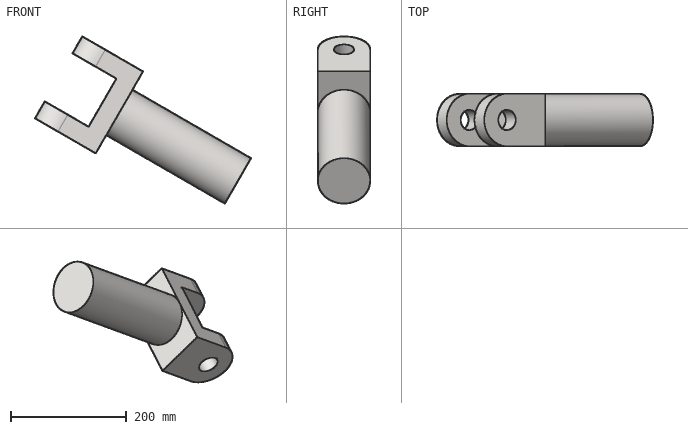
import cadquery as cq

width = 91.0
fork_height = 164.0
fork_length = 121.7
arm_thickness = 34.0
bridge_thickness = 34.0
hole_diameter = 35.0
shank_length = 237.0
tilt = 30

arm_radius = width / 2
eye_to_back = fork_length - arm_radius
slot_length = fork_length - bridge_thickness
slot_height = fork_height - 2 * arm_thickness


def make_fork():
    """Clevis with round-ended arms; the pin axis is the Z axis through the origin."""
    body = (
        cq.Workplane("XY")
        .workplane(offset=-fork_height / 2)
        .moveTo(0, arm_radius)
        .threePointArc((-arm_radius, 0), (0, -arm_radius))
        .lineTo(eye_to_back, -arm_radius)
        .lineTo(eye_to_back, arm_radius)
        .close()
        .extrude(fork_height)
    )
    slot = (
        cq.Workplane("XY")
        .box(slot_length, width, slot_height, centered=(False, True, True))
        .translate((-arm_radius, 0, 0))
    )
    pin_hole = cq.Workplane("XY").circle(hole_diameter / 2).extrude(fork_height / 2, both=True)
    return body.cut(slot).cut(pin_hole)


def make_shank():
    """Round bar leaving the middle of the bridge's back face."""
    return (
        cq.Workplane("YZ")
        .workplane(offset=eye_to_back)
        .circle(width / 2)
        .extrude(shank_length)
    )


result = make_fork().union(make_shank()).rotate((0, 0, 0), (0, 1, 0), tilt)